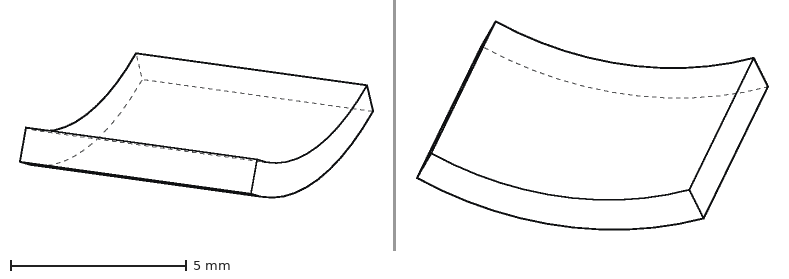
import cadquery as cq
import math

length = 7.25
chord_width = 8.47
outer_radius = 10.0
thickness = 1.0

inner_radius = outer_radius - thickness
half_angle = math.asin(chord_width / 2 / outer_radius)


def arc_point(radius, angle):
    """Point in the YZ plane, with the angle measured from straight down."""
    return (radius * math.sin(angle), -radius * math.cos(angle))


result = (
    cq.Workplane("YZ")
    .moveTo(*arc_point(outer_radius, -half_angle))
    .threePointArc(arc_point(outer_radius, 0), arc_point(outer_radius, half_angle))
    .lineTo(*arc_point(inner_radius, half_angle))
    .threePointArc(arc_point(inner_radius, 0), arc_point(inner_radius, -half_angle))
    .close()
    .extrude(length / 2, both=True)
)